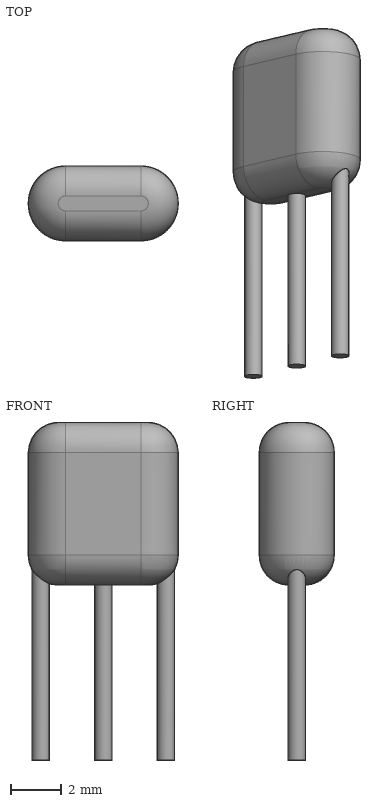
import cadquery as cq

body_length = 6.0
body_thickness = 3.0
body_height = 6.5
edge_radius = 1.2

lead_count = 3
lead_pitch = 2.5
lead_diameter = 0.7
lead_length = 7.0
lead_embedment = edge_radius


def make_body():
    """Stadium-shaped block with its top and bottom rims rounded."""
    return (
        cq.Workplane("XY")
        .slot2D(body_length, body_thickness)
        .extrude(body_height)
        .faces("<Z or >Z")
        .edges()
        .fillet(edge_radius)
    )


def make_lead(x):
    """Straight round lead that starts inside the body and hangs down from it."""
    return (
        cq.Workplane("XY", origin=(x, 0, -lead_length))
        .circle(lead_diameter / 2)
        .extrude(lead_length + lead_embedment)
    )


result = make_body()
for index in range(lead_count):
    lead_x = (index - (lead_count - 1) / 2) * lead_pitch
    result = result.union(make_lead(lead_x))